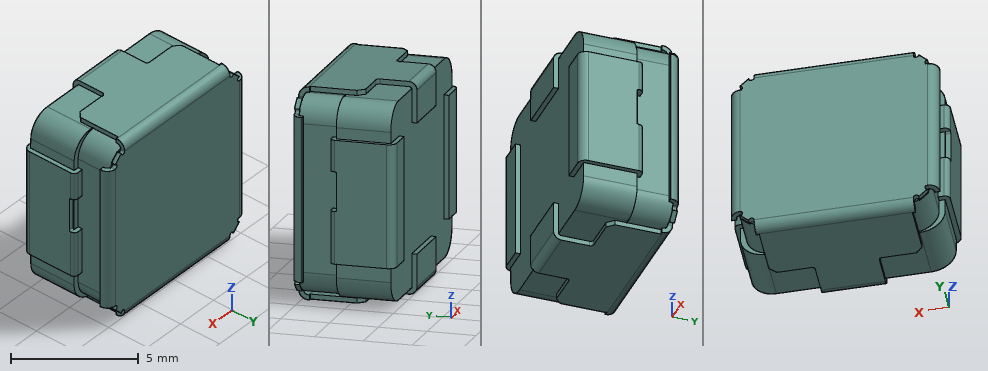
import cadquery as cq


width = 8.6
depth = 4.27
height = 8.69
sheet = 0.21

base_width = width - 2 * sheet
base_height = 8.13
base_back = 2.44
upper_width = 7.7
upper_height = 8.06
corner_radius = 1.0

shield_width = 6.12
back_bend_width = 6.37
back_bend_radius = 0.41
bend_depth = 0.44
foot_bend_radius = 0.33
foot_width = 2.56
foot_length = 1.67
shoulder = 1.63
shoulder_chamfer = 0.27
shoulder_fillet = 0.13

lip_span = 8.32
lip_length = 6.74
relief_width = 0.21

terminal_bottom = -2.45
terminal_top = 2.61
terminal_back = base_back + sheet
terminal_foot_length = 1.31
notch_bottom = -0.3
notch_top = 1.32
notch_floor = 2.37
notch_fillet = 0.07


def box_between(x_range, y_range, z_range):
    """Box spanning the given (low, high) ranges."""
    lows, highs = zip(x_range, y_range, z_range)
    sizes = [high - low for low, high in zip(lows, highs)]
    return cq.Workplane("XY").box(*sizes, centered=False).translate(lows)


def centred(size):
    """Range of the given size about zero."""
    return (-size / 2, size / 2)


def rounded_block(block_width, block_height, front, back):
    """Block between two Y positions with rounded corners along Y."""
    block = box_between(centred(block_width), (front, back), centred(block_height))
    return block.edges("|Y").fillet(corner_radius)


def make_shield_wrap():
    """Top and bottom shield walls with their back bends and front feet."""
    outer = box_between(centred(back_bend_width), (0, depth), centred(height))
    outer = outer.edges("|X and <Y").fillet(foot_bend_radius)
    outer = outer.edges("|X and >Y").fillet(back_bend_radius)
    inner = box_between(
        centred(back_bend_width), (sheet, depth - sheet), centred(height - 2 * sheet)
    )
    inner = inner.edges("|X and <Y").fillet(foot_bend_radius - sheet)
    inner = inner.edges("|X and >Y").fillet(back_bend_radius - sheet)

    wall = box_between(centred(shield_width), (shoulder, depth), centred(height))
    wall = wall.edges("|Z and <Y").chamfer(shoulder_chamfer)
    foot = box_between(centred(foot_width), (0, depth), centred(height))
    reach = foot_width / 2 + shoulder_fillet
    inside_corners = cq.selectors.BoxSelector(
        (-reach, shoulder - shoulder_fillet, -height),
        (reach, shoulder + shoulder_fillet, height),
    )
    outline = wall.union(foot).edges("|Z").edges(inside_corners).fillet(shoulder_fillet)
    back_bend = box_between(
        centred(back_bend_width), (depth - bend_depth, depth), centred(height)
    )
    outline = outline.union(back_bend)

    window_height = height - 2 * foot_length
    window = box_between(centred(foot_width), (0, sheet), centred(window_height))
    return outer.cut(inner).intersect(outline).cut(window)


def make_side_lips():
    """Back plate strip whose X edges bend forward into short lips."""
    front = depth - bend_depth
    outer = box_between(centred(lip_span), (front, depth), centred(lip_length))
    outer = outer.edges("|Z and >Y").fillet(back_bend_radius)
    inner = box_between(
        centred(lip_span - 2 * sheet), (front, depth - sheet), centred(lip_length)
    )
    inner = inner.edges("|Z and >Y").fillet(back_bend_radius - sheet)
    return outer.cut(inner)


def make_back_plate():
    """Flat plate up to the bend lines, with chamfered corners and bend relief slots."""
    half_width = lip_span / 2 - back_bend_radius
    half_height = height / 2 - back_bend_radius
    slot_x = (back_bend_width + relief_width) / 2
    slot_z = (lip_length + relief_width) / 2
    chamfer_x = half_width - (slot_x + relief_width / 2)
    chamfer_z = half_height - (slot_z + relief_width / 2)
    corner_chamfer = (chamfer_x + chamfer_z) / 2

    plate = box_between(centred(2 * half_width), (depth - sheet, depth), centred(2 * half_height))
    plate = plate.edges("|Y").chamfer(corner_chamfer)
    for side_x in (-1, 1):
        for side_z in (-1, 1):
            slot_ends = [
                (side_x * slot_x, side_z * half_height),
                (side_x * half_width, side_z * slot_z),
            ]
            for x, z in slot_ends:
                slot = cq.Workplane("XZ").center(x, z).circle(relief_width / 2).extrude(-depth)
                plate = plate.cut(slot)
    return plate


def make_terminal():
    """Terminal on the +X side: foot, side wall and a notched lip over the base shoulder."""
    z_range = (terminal_bottom, terminal_top)
    outer_x = width / 2
    wall = box_between((upper_width / 2, outer_x), (0, terminal_back), z_range)
    wall = wall.edges("|Z and >X and <Y").fillet(foot_bend_radius)
    wall = wall.edges("|Z and >X and >Y").fillet(sheet)
    notch = box_between((0, width), (notch_floor, depth), (notch_bottom, notch_top))
    notch = notch.edges("|X and <Y").fillet(notch_fillet)
    foot_inner_x = outer_x - terminal_foot_length
    foot = box_between((foot_inner_x, upper_width / 2), (0, sheet), z_range)
    return wall.cut(notch).union(foot)


base = rounded_block(base_width, base_height, sheet, base_back)
upper = rounded_block(upper_width, upper_height, base_back, depth - sheet)
terminal = make_terminal()

result = base.union(upper)
for piece in (
    make_back_plate(),
    make_side_lips(),
    make_shield_wrap(),
    terminal,
    terminal.mirror("YZ"),
):
    result = result.union(piece)